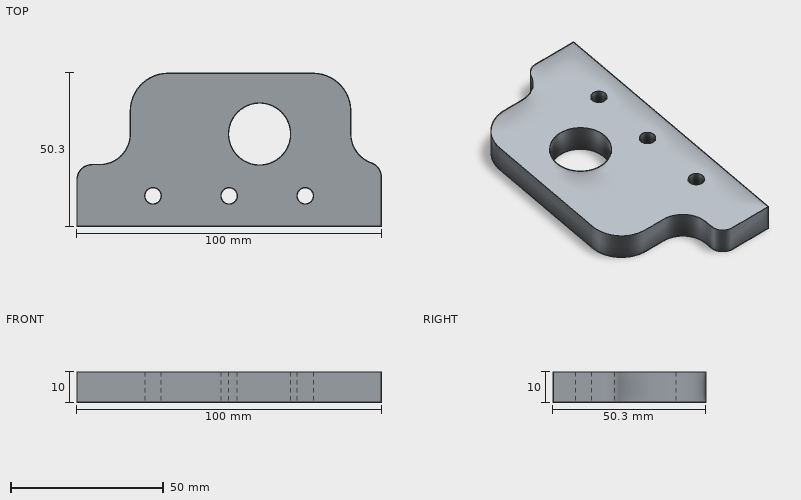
import cadquery as cq
import math

length = 100.0
depth = 50.3
thickness = 10.0

shoulder_height = 20.3
block_left = 17.5
block_right = 90.0
top_corner_radius = 12.5
inner_corner_radius = 10.0
shoulder_radius = 5.0

bore_diameter = 20.3
bore_center = (60.0, 30.3)
screw_hole_diameter = 5.3
screw_hole_count = 3
screw_hole_pitch = length / (screw_hole_count + 1)
screw_hole_y = 10.0

diagonal = math.sqrt(0.5)


def point_on_circle(center, radius, direction):
    """Point at the given radius from center along a unit direction."""
    return (center[0] + radius * direction[0], center[1] + radius * direction[1])


def bisector(first, second):
    """Unit direction halfway between two unit directions."""
    x = first[0] + second[0]
    y = first[1] + second[1]
    size = math.hypot(x, y)
    return (x / size, y / size)


def plate():
    """Plate with rounded top corners and concave corners above the shoulders."""
    concave_y = shoulder_height + inner_corner_radius
    top_arc_y = depth - top_corner_radius

    left_shoulder = (shoulder_radius, shoulder_height - shoulder_radius)
    left_concave = (block_left - inner_corner_radius, concave_y)
    left_top = (block_left + top_corner_radius, top_arc_y)
    right_top = (block_right - top_corner_radius, top_arc_y)
    right_concave = (block_right + inner_corner_radius, concave_y)

    round_x = length - shoulder_radius
    center_distance = inner_corner_radius + shoulder_radius
    center_rise = math.sqrt(center_distance**2 - (right_concave[0] - round_x) ** 2)
    right_shoulder = (round_x, concave_y - center_rise)
    to_concave = ((right_concave[0] - round_x) / center_distance, center_rise / center_distance)
    to_shoulder = (-to_concave[0], -to_concave[1])
    tangent_point = point_on_circle(right_shoulder, shoulder_radius, to_concave)

    concave_mid = point_on_circle(right_concave, inner_corner_radius, bisector((-1, 0), to_shoulder))
    shoulder_mid = point_on_circle(right_shoulder, shoulder_radius, bisector(to_concave, (1, 0)))

    outline = (
        cq.Workplane("XY")
        .lineTo(0, left_shoulder[1])
        .threePointArc(
            point_on_circle(left_shoulder, shoulder_radius, (-diagonal, diagonal)),
            (left_shoulder[0], shoulder_height),
        )
        .lineTo(left_concave[0], shoulder_height)
        .threePointArc(
            point_on_circle(left_concave, inner_corner_radius, (diagonal, -diagonal)),
            (block_left, concave_y),
        )
        .lineTo(block_left, top_arc_y)
        .threePointArc(
            point_on_circle(left_top, top_corner_radius, (-diagonal, diagonal)),
            (left_top[0], depth),
        )
        .lineTo(right_top[0], depth)
        .threePointArc(
            point_on_circle(right_top, top_corner_radius, (diagonal, diagonal)),
            (block_right, top_arc_y),
        )
        .lineTo(block_right, concave_y)
        .threePointArc(concave_mid, tangent_point)
        .threePointArc(shoulder_mid, (length, right_shoulder[1]))
        .lineTo(length, 0)
        .close()
    )
    return outline.extrude(thickness)


def through_holes(diameter, centers):
    """Cylinders that cut holes through the full thickness."""
    return cq.Workplane("XY").pushPoints(centers).circle(diameter / 2).extrude(thickness)


screw_hole_centers = [
    ((index + 1) * screw_hole_pitch, screw_hole_y) for index in range(screw_hole_count)
]

result = (
    plate()
    .cut(through_holes(bore_diameter, [bore_center]))
    .cut(through_holes(screw_hole_diameter, screw_hole_centers))
)